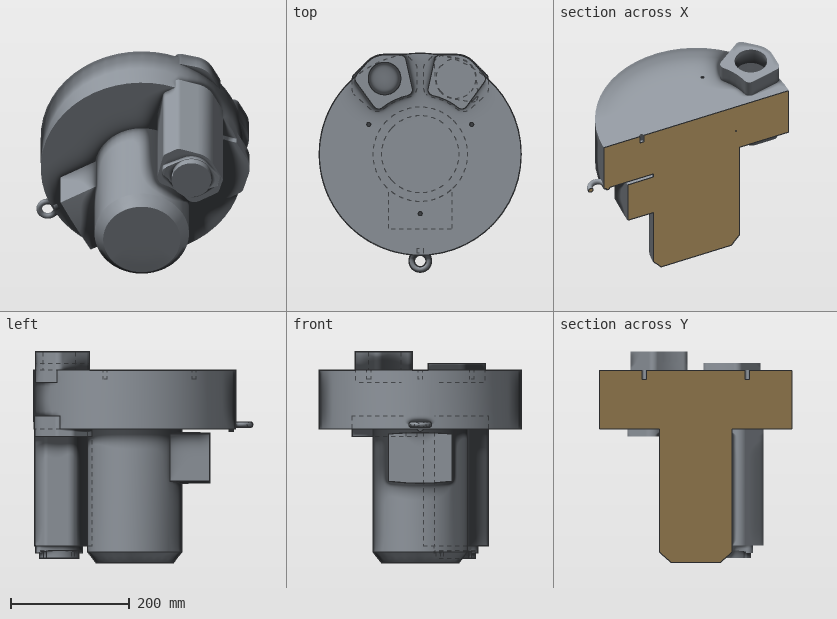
import cadquery as cq
import math


DISC_RADIUS = 170.0
DISC_HEIGHT = 99.0

MOTOR_RADIUS = 79.5
MOTOR_LENGTH = 225.0
MOTOR_TAPER_HEIGHT = 18.5
MOTOR_END_RADIUS = 65.0

BOX_WIDTH = 106.4
BOX_FRONT_Y = -126.2
BOX_TOP_Z = -8.3
BOX_BOTTOM_Z = -87.7
BOX_TOP_CROWN = 2.3
BOX_BOTTOM_CROWN = 3.5

PORT_X = 60.0
PORT_Y = 127.2
PORT_BORE_RADIUS = 27.4

INLET_HEIGHT = 31.4
BLANK_HEIGHT = 11.4
TOP_PAD_WRAP_DEPTH = 21.0
TOP_PAD_FILLET = 10.0
TOP_PAD_ARC_RADIUS = 100.8
TOP_PAD_CAP_RADIUS = 39.7
TOP_PAD_CAP_ANGLE = 41.0
TOP_PAD_OUTER_CORNER = (112.5, 127.5)
TOP_PAD_LOW_ANGLE = 54.0
TOP_PAD_INNER_TOP_X = 25.8
TOP_PAD_INNER_SLOPE = 0.22

LOW_PAD_WRAP_HEIGHT = 22.2
LOW_PAD_DEPTH = 12.6
SILENCER_LENGTH = 196.3
LOW_PAD_FILLET = 10.0
LOW_PAD_ARC_FILLET = 16.0
LOW_PAD_ARC_RADIUS = 98.0
LOW_PAD_CAP_RADIUS = 41.0
LOW_PAD_CAP_ANGLE = 45.0
LOW_PAD_HALF_WIDTH = 54.4
LOW_PAD_OUTER_LOW_Y = 103.0
LOW_PAD_LOW_ANGLE = 41.7
LOW_PAD_INNER_CUT_Y = 149.7

PLATE_THICKNESS = 12.2
PLATE_HUB_RADIUS = 34.4
PLATE_LOBE_RADIUS = 9.1
PLATE_LOBE_OFFSET = 41.3
PLATE_LOBE_ANGLE = -47.6
DISH_RADIUS = 46.6
DISH_EDGE_DEPTH = 2.2
DISH_SLOPE = 0.18
CAP_RADIUS = 33.4
CAP_BOTTOM_Z = -217.3
GRIP_GROOVE_RADIUS = 6.0
GRIP_GROOVE_DEPTH = 1.2
GRIP_GROOVE_ANGLES = (-45.0, 135.0)

MOUNT_HOLE_DIAMETER = 6.8
MOUNT_HOLE_DEPTH = 15.0
MOUNT_CIRCLE_RADIUS = 100.0
MOUNT_ANGLES = (30.0, 150.0, 270.0)

EYE_RING_RADIUS = 14.3
EYE_WIRE_RADIUS = 4.8
EYE_REACH = 198.7
EYE_Z = 7.5
LUG_RADIUS = 6.0
LUG_DROP = 3.7
LUG_LENGTH = 7.0
LUG_START_Y = -158.8


def extrude_between(outline, bottom, top):
    """Extrude an outline drawn at Z = 0 to fill bottom..top."""
    return outline.extrude(top - bottom).translate((0, 0, bottom))


def polar(radius, degrees):
    angle = math.radians(degrees)
    return radius * math.cos(angle), radius * math.sin(angle)


def port_polar(radius, degrees):
    """A point at the given radius and angle around the +X port."""
    x, y = polar(radius, degrees)
    return PORT_X + x, PORT_Y + y


def axis_arc_mid(radius, start, end):
    """Middle of an arc around the Z axis between two points."""
    angle = (math.atan2(start[1], start[0]) + math.atan2(end[1], end[0])) / 2
    return radius * math.cos(angle), radius * math.sin(angle)


def line_to_axis_circle(point, slope_angle, radius):
    """Where a line sinking toward -X from a point first meets a circle around the Z axis."""
    dx, dy = polar(-1.0, slope_angle)
    along = point[0] * dx + point[1] * dy
    gap = point[0] ** 2 + point[1] ** 2 - radius**2
    step = -along - math.sqrt(along**2 - gap)
    return point[0] + step * dx, point[1] + step * dy


def make_disc():
    return cq.Workplane("XY").circle(DISC_RADIUS).extrude(DISC_HEIGHT)


def make_motor():
    taper_z = MOTOR_TAPER_HEIGHT - MOTOR_LENGTH
    profile = (
        cq.Workplane("XZ")
        .moveTo(0, 0)
        .lineTo(-MOTOR_RADIUS, 0)
        .lineTo(-MOTOR_RADIUS, taper_z)
        .lineTo(-MOTOR_END_RADIUS, -MOTOR_LENGTH)
        .lineTo(0, -MOTOR_LENGTH)
        .close()
    )
    return profile.revolve(360, (0, 0, 0), (0, 1, 0))


def make_terminal_box():
    half = BOX_WIDTH / 2
    return (
        cq.Workplane("XZ")
        .moveTo(-half, BOX_TOP_Z)
        .threePointArc((0, BOX_TOP_Z + BOX_TOP_CROWN), (half, BOX_TOP_Z))
        .lineTo(half, BOX_BOTTOM_Z)
        .threePointArc((0, BOX_BOTTOM_Z - BOX_BOTTOM_CROWN), (-half, BOX_BOTTOM_Z))
        .close()
        .extrude(-BOX_FRONT_Y)
    )


def make_top_pad(height):
    """Rounded pad around the +X port that also wraps over the disc rim."""
    top_y = PORT_Y + TOP_PAD_CAP_RADIUS
    low_corner = line_to_axis_circle(TOP_PAD_OUTER_CORNER, TOP_PAD_LOW_ANGLE, TOP_PAD_ARC_RADIUS)
    inner_top = (TOP_PAD_INNER_TOP_X, top_y)
    inner_low = line_to_axis_circle(
        inner_top, math.degrees(math.atan2(1, TOP_PAD_INNER_SLOPE)), TOP_PAD_ARC_RADIUS
    )
    outline = (
        cq.Workplane("XY")
        .moveTo(PORT_X, top_y)
        .threePointArc(
            port_polar(TOP_PAD_CAP_RADIUS, (90 + TOP_PAD_CAP_ANGLE) / 2),
            port_polar(TOP_PAD_CAP_RADIUS, TOP_PAD_CAP_ANGLE),
        )
        .lineTo(*TOP_PAD_OUTER_CORNER)
        .lineTo(*low_corner)
        .threePointArc(axis_arc_mid(TOP_PAD_ARC_RADIUS, low_corner, inner_low), inner_low)
        .lineTo(*inner_top)
        .close()
    )
    pad = extrude_between(outline, DISC_HEIGHT - TOP_PAD_WRAP_DEPTH, DISC_HEIGHT + height)
    corners = (TOP_PAD_OUTER_CORNER, low_corner, inner_low, inner_top)
    return fillet_corners(pad, corners, TOP_PAD_FILLET)


def fillet_corners(body, corners, radius):
    """Round the vertical edges standing at the given XY points."""
    for x, y in corners:
        nearest = cq.selectors.NearestToPointSelector((x, y, body.val().Center().z))
        body = body.edges("|Z").edges(nearest).fillet(radius)
    return body


def make_low_pad(depth):
    """Faceted body around the +X port, from inside the disc rim down to the given depth."""
    top_y = PORT_Y + LOW_PAD_CAP_RADIUS
    cap_end = port_polar(LOW_PAD_CAP_RADIUS, LOW_PAD_CAP_ANGLE)
    outer_x = PORT_X + LOW_PAD_HALF_WIDTH
    inner_x = PORT_X - LOW_PAD_HALF_WIDTH
    outer_high = (outer_x, cap_end[1] - (outer_x - cap_end[0]))
    outer_low = (outer_x, LOW_PAD_OUTER_LOW_Y)
    low_corner = line_to_axis_circle(outer_low, LOW_PAD_LOW_ANGLE, LOW_PAD_ARC_RADIUS)
    inner_low = (inner_x, math.sqrt(LOW_PAD_ARC_RADIUS**2 - inner_x**2))
    inner_high = (inner_x, LOW_PAD_INNER_CUT_Y)
    inner_top = (inner_x + top_y - LOW_PAD_INNER_CUT_Y, top_y)
    outline = (
        cq.Workplane("XY")
        .moveTo(PORT_X, top_y)
        .threePointArc(port_polar(LOW_PAD_CAP_RADIUS, (90 + LOW_PAD_CAP_ANGLE) / 2), cap_end)
        .lineTo(*outer_high)
        .lineTo(*outer_low)
        .lineTo(*low_corner)
        .threePointArc(axis_arc_mid(LOW_PAD_ARC_RADIUS, low_corner, inner_low), inner_low)
        .lineTo(*inner_high)
        .lineTo(*inner_top)
        .close()
    )
    body = extrude_between(outline, -depth, LOW_PAD_WRAP_HEIGHT)
    body = fillet_corners(body, (outer_high, outer_low, inner_high), LOW_PAD_FILLET)
    return fillet_corners(body, (low_corner, inner_low), LOW_PAD_ARC_FILLET)


def make_cover_plate():
    """Round hub with two tapering lobes and a shallow conical dish underneath."""
    tangent_angle = math.acos((PLATE_HUB_RADIUS - PLATE_LOBE_RADIUS) / PLATE_LOBE_OFFSET)
    hub_x = PLATE_HUB_RADIUS * math.cos(tangent_angle)
    hub_y = PLATE_HUB_RADIUS * math.sin(tangent_angle)
    lobe_x = PLATE_LOBE_OFFSET + PLATE_LOBE_RADIUS * math.cos(tangent_angle)
    lobe_y = PLATE_LOBE_RADIUS * math.sin(tangent_angle)
    lobe_tip = PLATE_LOBE_OFFSET + PLATE_LOBE_RADIUS
    plate = (
        cq.Workplane("XY")
        .moveTo(hub_x, -hub_y)
        .lineTo(lobe_x, -lobe_y)
        .threePointArc((lobe_tip, 0), (lobe_x, lobe_y))
        .lineTo(hub_x, hub_y)
        .threePointArc((0, PLATE_HUB_RADIUS), (-hub_x, hub_y))
        .lineTo(-lobe_x, lobe_y)
        .threePointArc((-lobe_tip, 0), (-lobe_x, -lobe_y))
        .lineTo(-hub_x, -hub_y)
        .threePointArc((0, -PLATE_HUB_RADIUS), (hub_x, -hub_y))
        .close()
        .extrude(PLATE_THICKNESS)
    )
    dish_top = DISH_EDGE_DEPTH + DISH_SLOPE * (DISH_RADIUS - CAP_RADIUS)
    dish = (
        cq.Workplane("XZ")
        .polyline(
            (
                (0, 0),
                (DISH_RADIUS, 0),
                (DISH_RADIUS, DISH_EDGE_DEPTH),
                (CAP_RADIUS, dish_top),
                (0, dish_top),
            )
        )
        .close()
        .revolve(360, (0, 0, 0), (0, 1, 0))
    )
    plate = plate.cut(dish).rotate((0, 0, 0), (0, 0, 1), PLATE_LOBE_ANGLE)
    return plate.translate((PORT_X, PORT_Y, -SILENCER_LENGTH - PLATE_THICKNESS))


def make_screw_cap():
    cap = cq.Workplane("XY").circle(CAP_RADIUS).extrude(-SILENCER_LENGTH - CAP_BOTTOM_Z)
    groove_offset = CAP_RADIUS + GRIP_GROOVE_RADIUS - GRIP_GROOVE_DEPTH
    for angle in GRIP_GROOVE_ANGLES:
        groove = cq.Workplane("XY").center(*polar(groove_offset, angle)).circle(GRIP_GROOVE_RADIUS)
        cap = cap.cut(groove.extrude(-SILENCER_LENGTH - CAP_BOTTOM_Z))
    return cap.translate((PORT_X, PORT_Y, CAP_BOTTOM_Z))


def make_lifting_eye():
    ring_y = EYE_RING_RADIUS + EYE_WIRE_RADIUS - EYE_REACH
    ring = cq.Workplane(
        obj=cq.Solid.makeTorus(
            EYE_RING_RADIUS, EYE_WIRE_RADIUS, cq.Vector(0, ring_y, EYE_Z), cq.Vector(0, 0, 1)
        )
    )
    lug = cq.Workplane("XZ", origin=(0, LUG_START_Y, LUG_RADIUS - LUG_DROP)).circle(LUG_RADIUS)
    return ring.union(lug.extrude(LUG_LENGTH))


def mount_hole_cutter():
    points = [polar(MOUNT_CIRCLE_RADIUS, angle) for angle in MOUNT_ANGLES]
    holes = cq.Workplane("XY").pushPoints(points).circle(MOUNT_HOLE_DIAMETER / 2)
    return extrude_between(holes, DISC_HEIGHT - MOUNT_HOLE_DEPTH, DISC_HEIGHT)


def port_bore_cutter():
    bore = cq.Workplane("XY").center(-PORT_X, PORT_Y).circle(PORT_BORE_RADIUS)
    return extrude_between(bore, DISC_HEIGHT, DISC_HEIGHT + INLET_HEIGHT)


result = (
    make_disc()
    .union(make_motor())
    .union(make_terminal_box())
    .union(make_top_pad(INLET_HEIGHT).mirror("YZ"))
    .union(make_top_pad(BLANK_HEIGHT))
    .union(make_low_pad(LOW_PAD_DEPTH).mirror("YZ"))
    .union(make_low_pad(SILENCER_LENGTH))
    .union(make_cover_plate())
    .union(make_screw_cap())
    .union(make_lifting_eye())
    .cut(mount_hole_cutter())
    .cut(port_bore_cutter())
)